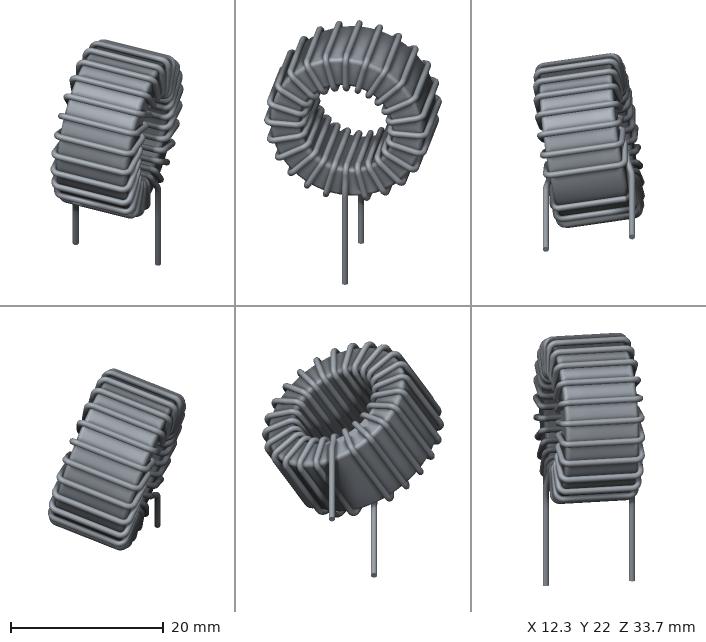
import cadquery as cq
import math

CORE_OUTER_DIAMETER = 20.4
CORE_BORE_DIAMETER = 12.4
CORE_WIDTH = 9.73
CORE_EDGE_RADIUS = 0.5
WIRE_DIAMETER = 0.8
STATIONS = 24
OVERALL_WIDTH = 12.3
OVERALL_HEIGHT = 33.65
LEAD_STRAIGHT_TOP = -9.63

WIRE_RADIUS = WIRE_DIAMETER / 2
BEND_RADIUS = CORE_EDGE_RADIUS + WIRE_RADIUS
INNER_RUN_RADIUS = CORE_BORE_DIAMETER / 2 - WIRE_RADIUS
OUTER_RUN_RADIUS = CORE_OUTER_DIAMETER / 2 + WIRE_RADIUS
FACE_RUN_X = CORE_WIDTH / 2 + WIRE_RADIUS
LEAD_X = OVERALL_WIDTH / 2 - WIRE_RADIUS
LEAD_TIP_Z = OUTER_RUN_RADIUS + WIRE_RADIUS - OVERALL_HEIGHT

DOWN = cq.Vector(0, 0, -1)


def make_core():
    """Ring with rounded edges."""
    return (
        cq.Workplane("YZ", origin=(-CORE_WIDTH / 2, 0, 0))
        .circle(CORE_OUTER_DIAMETER / 2)
        .circle(CORE_BORE_DIAMETER / 2)
        .extrude(CORE_WIDTH)
        .edges()
        .fillet(CORE_EDGE_RADIUS)
        .val()
    )


def station_point(x, radius, station):
    """Point at a winding station; station 0 is at the bottom and the count moves toward +Y."""
    angle = 2 * math.pi * station / STATIONS
    return cq.Vector(x, radius * math.sin(angle), -radius * math.cos(angle))


def winding_corners():
    """Sharp corners of the wire path between the two leads.

    Each turn is radial on the -X face and steps on to the next station on the +X face.
    """
    corners = []
    for station in range(STATIONS):
        if station > 0:
            corners.append(station_point(FACE_RUN_X, OUTER_RUN_RADIUS, station))
            corners.append(station_point(-FACE_RUN_X, OUTER_RUN_RADIUS, station))
        corners.append(station_point(-FACE_RUN_X, INNER_RUN_RADIUS, station))
        corners.append(station_point(FACE_RUN_X, INNER_RUN_RADIUS, station))
    return corners


def bend_at(corner, before, after):
    """Start, middle and end of the right-angle bend that rounds a corner."""
    toward_before = (before - corner).normalized()
    toward_after = (after - corner).normalized()
    centre = corner + (toward_before + toward_after) * BEND_RADIUS
    middle = centre - (toward_before + toward_after).normalized() * BEND_RADIUS
    return corner + toward_before * BEND_RADIUS, middle, corner + toward_after * BEND_RADIUS


def make_winding():
    """One continuous wire: a lead, all the turns around the core, and the other lead."""
    first_lead_top = cq.Vector(-LEAD_X, 0, LEAD_STRAIGHT_TOP)
    first_lead_tip = cq.Vector(-LEAD_X, 0, LEAD_TIP_Z)
    last_lead_top = cq.Vector(LEAD_X, 0, LEAD_STRAIGHT_TOP)
    last_lead_tip = cq.Vector(LEAD_X, 0, LEAD_TIP_Z)

    path_start = cq.Vector(-FACE_RUN_X, 0, LEAD_STRAIGHT_TOP)
    path_end = cq.Vector(FACE_RUN_X, 0, LEAD_STRAIGHT_TOP)
    points = [path_start, *winding_corners(), path_end]
    bends = [
        bend_at(corner, before, after)
        for before, corner, after in zip(points, points[1:], points[2:])
    ]

    turns_start = bends[0][0]
    turns_end = bends[-1][2]
    path = [
        cq.Edge.makeLine(first_lead_tip, first_lead_top),
        cq.Edge.makeSpline([first_lead_top, turns_start], tangents=[-DOWN, -DOWN]),
    ]
    previous_end = turns_start
    for start, middle, end in bends:
        if (start - previous_end).Length > 0:
            path.append(cq.Edge.makeLine(previous_end, start))
        path.append(cq.Edge.makeThreePointArc(start, middle, end))
        previous_end = end
    leaving = path_end - points[-2]
    path.append(cq.Edge.makeSpline([turns_end, last_lead_top], tangents=[leaving, DOWN]))
    path.append(cq.Edge.makeLine(last_lead_top, last_lead_tip))

    return (
        cq.Workplane("XY", origin=first_lead_tip.toTuple())
        .circle(WIRE_RADIUS)
        .sweep(cq.Workplane(cq.Wire.assembleEdges(path)))
        .val()
    )


core = make_core()
winding = make_winding()
result = cq.Compound.makeCompound([core, winding])